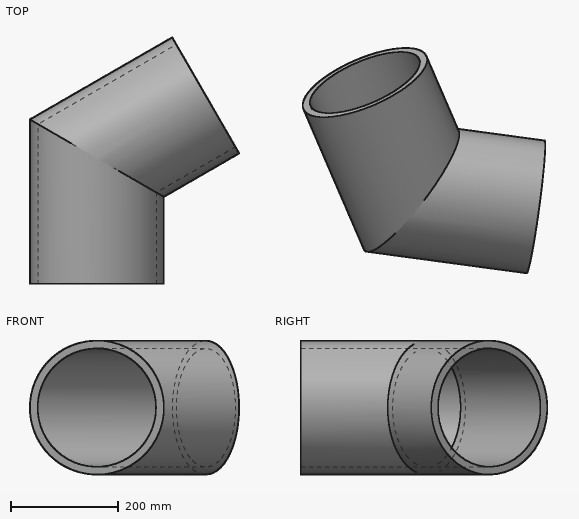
import cadquery as cq
import math

overall_length = 459.2
outer_diameter = 250.0
inner_diameter = 220.5
bend_angle = math.radians(60)

outer_radius = outer_diameter / 2
mitre_angle = bend_angle / 2

end_face_rise = outer_radius * math.sin(bend_angle)
leg_length = (overall_length - end_face_rise) / (1 + math.cos(bend_angle))
mitre_rise = outer_radius * math.tan(mitre_angle)


def straight_leg():
    """Tube along +Y from the origin, cut off at the mitre plane."""
    tube = (
        cq.Workplane("XZ")
        .circle(outer_radius)
        .circle(inner_diameter / 2)
        .extrude(-(leg_length + mitre_rise))
    )
    mitred_outline = (
        cq.Workplane("XY")
        .moveTo(-outer_radius, 0)
        .lineTo(outer_radius, 0)
        .lineTo(outer_radius, leg_length - mitre_rise)
        .lineTo(-outer_radius, leg_length + mitre_rise)
        .close()
        .extrude(outer_radius, both=True)
    )
    return tube.intersect(mitred_outline)


mitre_normal = cq.Vector(math.sin(mitre_angle), math.cos(mitre_angle), 0)
first_leg = straight_leg()
second_leg = first_leg.mirror(mitre_normal, (0, leg_length, 0))
result = first_leg.union(second_leg)